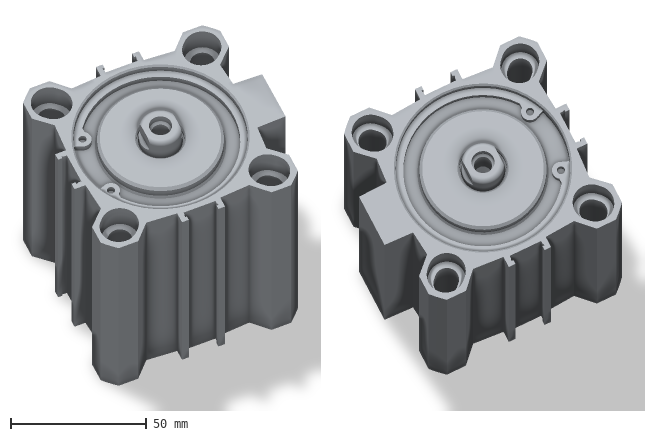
import cadquery as cq
import math

total_height = 94.0
overall_width = 80.0
overall_depth = 86.0
housing_height = 87.0

corner_reach = overall_width / 2
corner_flat_start = 27.1
corner_flat_end = 35.0
lug_root_along = 20.9
lug_root_out = 33.6
wall_out = 34.4
rail_outer = 8.7
rail_lip = 6.0
rail_undercut = 6.9
rail_floor_side = 6.5
rail_reach = 38.8
rail_lip_depth = 37.1
rail_slope_end = 36.2
slot_floor_out = 35.1

block_reach = overall_depth - corner_reach
block_root_half_width = 10.9
block_tip_half_width = 10.5

mount_offset = 30.5
mount_slot_shift = 1.5
mount_hole_width = 9.0
mount_counterbore_width = 14.0
mount_counterbore_depth = 10.0

bore_diameter = 64.7
bore_chamfer = 0.7

boss_recess = 0.75
flange_recess = 5.45
cover_depth = 23.5
boss_diameter = 47.0
boss_chamfer = 1.0
boss_foot_chamfer = 0.75
cover_hole_diameter = 16.5
wiper_diameter = 17.7
wiper_depth = 1.9
wiper_chamfer = 0.61

ring_thickness = 2.4
ring_inner_diameter = 59.0
ear_x = 12.8
ear_y = -25.85
ear_diameter = 6.7
ear_hole_diameter = 3.0
ear_bridge_y = -23.9
gap_inner_half_width = 9.6
gap_inner_y = -26.9
gap_outer_half_width = 11.8

rod_diameter = 16.0
rod_fillet = 1.9
flat_width = 13.1
flat_length = 5.6
socket_diameter = 8.6
socket_depth = 3.0
tapped_diameter = 6.7
tapped_depth = 15.0
drill_point_angle = 118.0

boss_top = housing_height - boss_recess
flange_top = housing_height - flange_recess
ring_top = flange_top + ring_thickness
cover_bottom = housing_height - cover_depth


def cylinder(diameter, bottom, top):
    return cq.Workplane("XY").workplane(offset=bottom).circle(diameter / 2).extrude(top - bottom)


def cone(bottom_diameter, top_diameter, bottom, top):
    return cq.Workplane(
        cq.Solid.makeCone(bottom_diameter / 2, top_diameter / 2, top - bottom, cq.Vector(0, 0, bottom))
    )


def turned_about_axis(points, quarter_turns):
    for _ in range(quarter_turns):
        points = [(-y, x) for x, y in points]
    return points


def mirrored(half):
    return half + [(x, -y) for x, y in reversed(half)]


def lug_face():
    """Outer face of a lug, an arc about the cylinder axis: its start, middle and end."""
    middle = math.hypot(corner_reach, corner_flat_end) * math.sqrt(0.5)
    return [(corner_reach, corner_flat_end), (middle, middle), (corner_flat_end, corner_reach)]


def housing_profile():
    rail_half = [
        (lug_root_out, -lug_root_along),
        (wall_out, -rail_outer),
        (rail_reach, -rail_outer),
        (rail_reach, -rail_lip),
        (rail_lip_depth, -rail_lip),
        (rail_lip_depth, -rail_undercut),
        (rail_slope_end, -rail_floor_side),
        (slot_floor_out, -rail_floor_side),
    ]
    block_half = [
        (lug_root_out, -lug_root_along),
        (wall_out, -block_root_half_width),
        (block_reach, -block_tip_half_width),
    ]
    profile = cq.Workplane("XY").moveTo(corner_flat_start, -corner_reach)
    for quarter_turns in range(4):
        lug_start, lug_middle, lug_end = turned_about_axis(lug_face(), (quarter_turns + 3) % 4)
        half = block_half if quarter_turns == 1 else rail_half
        side = [(corner_reach, -corner_flat_start)] + half
        profile = profile.lineTo(*lug_start).threePointArc(lug_middle, lug_end)
        for point in turned_about_axis(mirrored(side), quarter_turns):
            profile = profile.lineTo(*point)
    return profile.close()


def mounting_slots(width, bottom, top):
    slots = cq.Workplane("XY")
    for quarter_turns in range(4):
        slot = (
            cq.Workplane("XY")
            .workplane(offset=bottom)
            .center(mount_offset * math.sqrt(2), 0)
            .slot2D(width + mount_slot_shift, width)
            .extrude(top - bottom)
            .rotate((0, 0, 0), (0, 0, 1), 45 + 90 * quarter_turns)
        )
        slots = slots.union(slot)
    return slots


def make_housing():
    body = housing_profile().extrude(housing_height)
    body = body.cut(mounting_slots(mount_hole_width, 0, housing_height))
    body = body.cut(
        mounting_slots(mount_counterbore_width, housing_height - mount_counterbore_depth, housing_height)
    )
    body = body.cut(cylinder(bore_diameter, cover_bottom, housing_height))
    rim_diameter = bore_diameter + 2 * bore_chamfer
    return body.cut(cone(bore_diameter, rim_diameter, housing_height - bore_chamfer, housing_height))


def make_cover():
    body = cylinder(bore_diameter, cover_bottom, flange_top)
    foot = cone(
        boss_diameter + 2 * boss_foot_chamfer, boss_diameter, flange_top, flange_top + boss_foot_chamfer
    )
    boss = cylinder(boss_diameter, flange_top, boss_top).faces(">Z").chamfer(boss_chamfer)
    body = body.union(boss).union(foot)
    body = body.cut(cylinder(cover_hole_diameter, cover_bottom, boss_top))
    body = body.cut(cylinder(wiper_diameter, boss_top - wiper_depth, boss_top))
    rim_diameter = wiper_diameter + 2 * wiper_chamfer
    return body.cut(cone(wiper_diameter, rim_diameter, boss_top - wiper_chamfer, boss_top))


def ring_ear(side):
    bridge_end = math.sqrt((ring_inner_diameter / 2) ** 2 - ear_bridge_y**2)
    bridge = (
        cq.Workplane("XY")
        .workplane(offset=flange_top)
        .moveTo(side * ear_x, ear_bridge_y)
        .lineTo(side * ear_x, ear_bridge_y - ear_diameter / 2)
        .lineTo(side * bridge_end, ear_bridge_y)
        .close()
        .extrude(ring_thickness)
    )
    ear = cylinder(ear_diameter, flange_top, ring_top).translate((side * ear_x, ear_y, 0))
    return bridge.union(ear)


def ring_gap():
    return (
        cq.Workplane("XY")
        .workplane(offset=flange_top)
        .moveTo(-gap_inner_half_width, gap_inner_y)
        .lineTo(gap_inner_half_width, gap_inner_y)
        .lineTo(gap_outer_half_width, -bore_diameter / 2)
        .lineTo(-gap_outer_half_width, -bore_diameter / 2)
        .close()
        .extrude(ring_thickness)
    )


def make_retaining_ring():
    ring = cylinder(bore_diameter, flange_top, ring_top)
    ring = ring.cut(cylinder(ring_inner_diameter, flange_top, ring_top))
    for side in (-1, 1):
        ring = ring.union(ring_ear(side))
    ring = ring.cut(ring_gap())
    ear_hole = cylinder(ear_hole_diameter, flange_top, ring_top)
    for side in (-1, 1):
        ring = ring.cut(ear_hole.translate((side * ear_x, ear_y, 0)))
    return ring


def wrench_flat(side):
    flat_y = side * flat_width / 2
    outside_y = side * rod_diameter
    flat_bottom = total_height - flat_length
    ramp_bottom = flat_bottom - abs(outside_y - flat_y)
    return (
        cq.Workplane("YZ")
        .moveTo(flat_y, total_height)
        .lineTo(flat_y, flat_bottom)
        .lineTo(outside_y, ramp_bottom)
        .lineTo(outside_y, total_height)
        .close()
        .extrude(rod_diameter, both=True)
    )


def threaded_socket():
    socket_bottom = total_height - socket_depth
    cone_bottom = socket_bottom - (socket_diameter - tapped_diameter) / 2
    tapped_bottom = total_height - tapped_depth
    point_length = tapped_diameter / 2 / math.tan(math.radians(drill_point_angle / 2))
    return (
        cq.Workplane("XZ")
        .moveTo(0, total_height)
        .lineTo(socket_diameter / 2, total_height)
        .lineTo(socket_diameter / 2, socket_bottom)
        .lineTo(tapped_diameter / 2, cone_bottom)
        .lineTo(tapped_diameter / 2, tapped_bottom)
        .lineTo(0, tapped_bottom - point_length)
        .close()
        .revolve(360, (0, 0, 0), (0, 1, 0))
    )


def make_rod():
    rod = cylinder(rod_diameter, cover_bottom, total_height).faces(">Z").edges().fillet(rod_fillet)
    for side in (-1, 1):
        rod = rod.cut(wrench_flat(side))
    return rod.cut(threaded_socket())


housing = make_housing().solids()
cover = make_cover().solids()
retaining_ring = make_retaining_ring().solids()
rod = make_rod().solids()

result = cq.Compound.makeCompound([housing.val(), cover.val(), retaining_ring.val(), rod.val()])